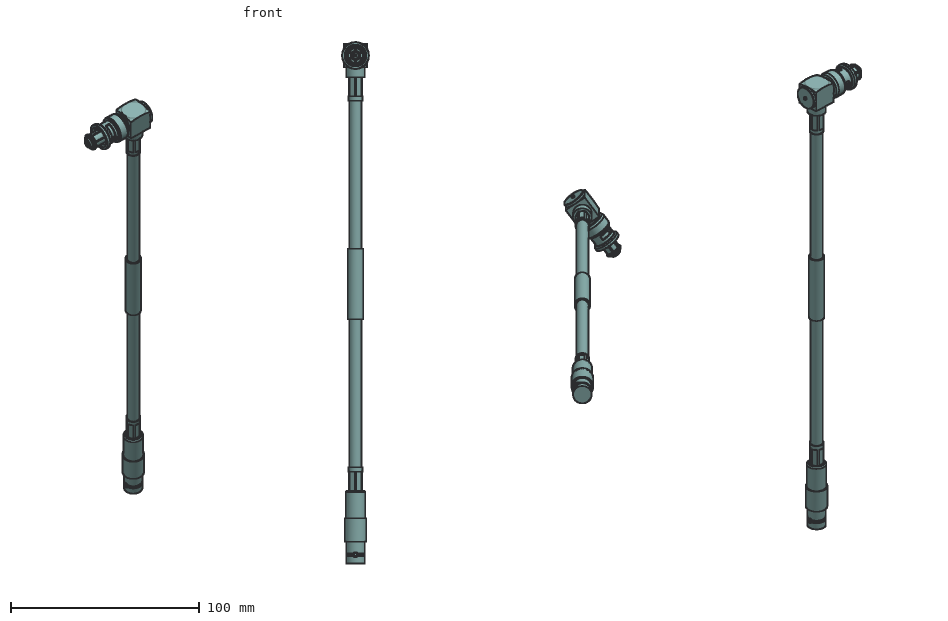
import cadquery as cq
import math


cable_radius = 3.3
ferrule_diameter = 7.5
ferrule_length = 12.5
ferrule_plain_length = 2.5
ferrule_across_flats = 7.0
marker_radius = 4.1
marker_length = 37.5

jack_length = 38.7
jack_rear_radius = 5.2
jack_grip_radius = 5.8
jack_mouth_radius = 5.0
jack_grip_bottom = 11.5
jack_grip_top = 24.0
jack_rear_chamfer = 0.8
jack_groove_width = 1.7
jack_groove_depth = 0.3
jack_lug_height = 4.7
jack_lug_radius = 1.5
jack_lug_chamfer = 0.5
jack_lug_reach = 5.8

total_height = 276.2
coupling_ring_radius = 7.2
plug_axis_height = total_height - coupling_ring_radius
block_width = 12.5
block_depth = 13.3
block_height = 12.5
block_top_radius = 6.4
block_corner_drop = 0.8
collar_radius = 5.0
collar_bottom = 257.5
cap_thickness = 1.7
cap_chamfer = 0.3
cap_tip_radius = 0.8
cap_tip_length = 0.5
neck_radius = 5.0
neck_front = 8.3
nose_radius = 4.0
nose_lip_rear = 28.2
nose_lip_front = 29.8
nose_lip_radius = 4.5
nose_lip_chamfer = 0.5
plug_front = 31.2
tip_radius = 2.5
socket_radius = 1.7
socket_depth = 1.7
contact_radius = 0.5
finger_count = 6
finger_gap = 0.5
finger_root = 20.7

grip_front = 15.0
grip_rear_bevel_length = 1.5
grip_rear_bevel_height = 0.5
grip_front_bevel_length = 0.8
grip_front_bevel_height = 0.3
barrel_radius = 5.8
front_ring_rear = 20.7
front_ring_front = 23.2
front_ring_chamfer = 0.8
mouth_radius = 5.0
mouth_countersink = 0.8
cam_slot_distance = 17.7
cam_slot_width = 2.5
cam_hole_diameter = 3.3
cam_slot_angle = 90
cam_slot_count = 2

upper_ferrule_end = collar_bottom - ferrule_length
lower_ferrule_end = jack_length + ferrule_length
block_bottom = plug_axis_height - block_height / 2
block_top = plug_axis_height + block_height / 2


def cylinder_up(radius, bottom, top):
    """Cylinder on the cable axis between two heights."""
    return cq.Workplane("XY").workplane(offset=bottom).circle(radius).extrude(top - bottom)


def cylinder_forward(radius, rear, front):
    """Cylinder on the plug axis; distances are measured from the cable axis toward -Y."""
    plane = cq.Plane(origin=(0, -rear, plug_axis_height), xDir=(1, 0, 0), normal=(0, -1, 0))
    return cq.Workplane(plane).circle(radius).extrude(front - rear)


def make_cable():
    return cylinder_up(cable_radius, jack_length, collar_bottom)


def make_marker():
    middle = (upper_ferrule_end + lower_ferrule_end) / 2
    bottom = middle - marker_length / 2
    top = middle + marker_length / 2
    return cylinder_up(marker_radius, bottom, top).cut(cylinder_up(cable_radius, bottom, top))


def make_ferrule(connector_end, direction):
    """Tube crimped to a hexagon next to the connector, extending up (+1) or down (-1) the cable."""
    crimp_length = ferrule_length - ferrule_plain_length
    hex_diameter = ferrule_across_flats / math.cos(math.pi / 6)
    crimp = (
        cq.Workplane("XY")
        .circle(ferrule_diameter / 2)
        .extrude(crimp_length)
        .intersect(
            cq.Workplane("XY")
            .transformed(rotate=(0, 0, 90))
            .polygon(6, hex_diameter)
            .extrude(crimp_length)
        )
    )
    tube = crimp.union(cylinder_up(ferrule_diameter / 2, crimp_length, ferrule_length))
    tube = tube.cut(cylinder_up(cable_radius, 0, ferrule_length))
    if direction < 0:
        tube = tube.mirror("XY")
    return tube.translate((0, 0, connector_end))


def make_jack():
    groove_bottom = jack_lug_height - jack_groove_width / 2
    groove_top = jack_lug_height + jack_groove_width / 2
    body = (
        cq.Workplane("XZ")
        .moveTo(0, 0)
        .lineTo(jack_mouth_radius, 0)
        .lineTo(jack_mouth_radius, groove_bottom)
        .lineTo(jack_mouth_radius - jack_groove_depth, jack_lug_height)
        .lineTo(jack_mouth_radius, groove_top)
        .lineTo(jack_mouth_radius, jack_grip_bottom)
        .lineTo(jack_grip_radius, jack_grip_bottom)
        .lineTo(jack_grip_radius, jack_grip_top)
        .lineTo(jack_rear_radius, jack_grip_top)
        .lineTo(jack_rear_radius, jack_length - jack_rear_chamfer)
        .lineTo(jack_rear_radius - jack_rear_chamfer, jack_length)
        .lineTo(0, jack_length)
        .close()
        .revolve(360, (0, 0, 0), (0, 1, 0))
    )
    lugs = (
        cq.Workplane("XZ", origin=(0, jack_lug_reach, jack_lug_height))
        .transformed(rotate=(0, 0, 45))
        .circle(jack_lug_radius)
        .extrude(2 * jack_lug_reach)
        .faces("<Y or >Y")
        .chamfer(jack_lug_chamfer)
    )
    return body.union(lugs)


def make_elbow_block():
    """Square block whose top corners slope away outside a round top face."""
    block = cq.Workplane("XY").box(block_width, block_depth, block_height)
    block = block.translate((0, 0, plug_axis_height))
    corner_radius = math.hypot(block_width, block_depth) / 2
    corner_envelope = (
        cq.Workplane("XZ")
        .moveTo(0, block_bottom)
        .lineTo(corner_radius, block_bottom)
        .lineTo(corner_radius, block_top - block_corner_drop)
        .lineTo(block_top_radius, block_top)
        .lineTo(0, block_top)
        .close()
        .revolve(360, (0, 0, 0), (0, 1, 0))
    )
    return block.intersect(corner_envelope)


def make_plug_nose():
    """Slotted contact fingers with a lip at the front, around a protruding tip with a contact pin."""
    nose = cylinder_forward(nose_radius, neck_front, nose_lip_front)
    lip = cylinder_forward(nose_lip_radius, nose_lip_rear, nose_lip_front)
    nose = nose.union(lip.faces("<Y or >Y").chamfer(nose_lip_chamfer))
    slot_length = nose_lip_front - finger_root
    slot = (
        cq.Workplane("XY")
        .box(finger_gap, slot_length, nose_lip_radius, centered=(True, False, False))
        .translate((0, -nose_lip_front, plug_axis_height))
    )
    axis_start = (0, 0, plug_axis_height)
    axis_end = (0, 1, plug_axis_height)
    for index in range(finger_count):
        nose = nose.cut(slot.rotate(axis_start, axis_end, index * 360 / finger_count))
    socket_bottom = plug_front - socket_depth
    nose = nose.union(cylinder_forward(tip_radius, neck_front, plug_front))
    nose = nose.cut(cylinder_forward(socket_radius, socket_bottom, plug_front))
    return nose.union(cylinder_forward(contact_radius, socket_bottom, plug_front))


def make_plug():
    block_face = block_depth / 2
    cap_face = block_face + cap_thickness
    collar = cylinder_up(collar_radius, collar_bottom, plug_axis_height)
    cap = cylinder_forward(block_height / 2, -cap_face, -block_face).faces(">Y").chamfer(cap_chamfer)
    cap_tip = cylinder_forward(cap_tip_radius, -cap_face - cap_tip_length, 0)
    neck = cylinder_forward(neck_radius, 0, neck_front)
    plug = make_elbow_block()
    for feature in (collar, cap, cap_tip, neck, make_plug_nose()):
        plug = plug.union(feature)
    return plug


def make_cam_slots():
    """Round entry holes on the +X and -X sides, each with a slot running a quarter turn."""
    slot_plane = cq.Workplane("XY", origin=(0, 0, plug_axis_height))
    slot = (
        slot_plane
        .center(coupling_ring_radius / 2, -cam_slot_distance)
        .rect(coupling_ring_radius, cam_slot_width)
        .revolve(cam_slot_angle, (-coupling_ring_radius / 2, 0, 0), (-coupling_ring_radius / 2, -1, 0))
    )
    hole = (
        cq.Workplane("YZ", origin=(0, -cam_slot_distance, plug_axis_height))
        .circle(cam_hole_diameter / 2)
        .extrude(coupling_ring_radius)
    )
    cutter = slot.union(hole)
    return [
        cutter.rotate((0, 0, plug_axis_height), (0, 1, plug_axis_height), index * 360 / cam_slot_count)
        for index in range(cam_slot_count)
    ]


def make_coupling():
    coupling = (
        cq.Workplane("XY", origin=(0, 0, plug_axis_height))
        .moveTo(nose_radius, -neck_front)
        .lineTo(coupling_ring_radius - grip_rear_bevel_height, -neck_front)
        .lineTo(coupling_ring_radius, -neck_front - grip_rear_bevel_length)
        .lineTo(coupling_ring_radius, -grip_front + grip_front_bevel_length)
        .lineTo(coupling_ring_radius - grip_front_bevel_height, -grip_front)
        .lineTo(barrel_radius, -grip_front)
        .lineTo(barrel_radius, -front_ring_rear)
        .lineTo(coupling_ring_radius - front_ring_chamfer, -front_ring_rear)
        .lineTo(coupling_ring_radius, -front_ring_rear - front_ring_chamfer)
        .lineTo(coupling_ring_radius, -front_ring_front)
        .lineTo(mouth_radius + mouth_countersink, -front_ring_front)
        .lineTo(mouth_radius, -front_ring_front + mouth_countersink)
        .lineTo(mouth_radius, -grip_front)
        .lineTo(nose_radius, -grip_front)
        .close()
        .revolve(360, (0, 0, 0), (0, 1, 0))
    )
    for slot in make_cam_slots():
        coupling = coupling.cut(slot)
    return coupling


cable = make_cable()
marker = make_marker()
ferrules = [make_ferrule(jack_length, 1), make_ferrule(collar_bottom, -1)]
jack = make_jack()
plug = make_plug()
coupling = make_coupling()

result = cq.Compound.makeCompound(
    [
        cable.val(),
        marker.val(),
        *[ferrule.val() for ferrule in ferrules],
        jack.val(),
        plug.val(),
        coupling.val(),
    ]
)